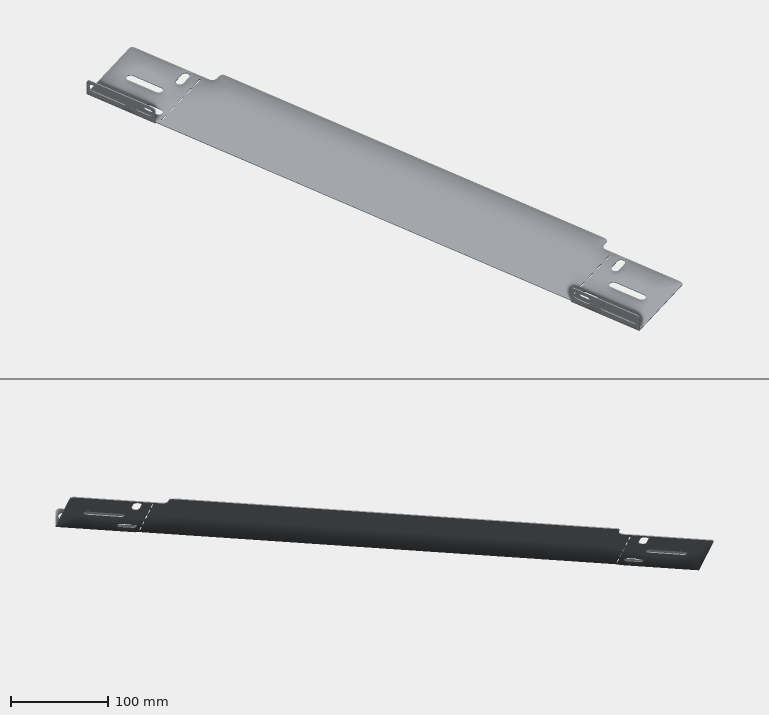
import cadquery as cq

length = 674.0
width = 100.0
height = 20.0
thickness = 1.0

half_length = length / 2
front_y = -width / 2
back_y = width / 2

shoulder_length = 101.0
shoulder_depth = 14.0
corner_radius = 4.0
shoulder_radius = 6.0
flange_length = 83.5
front_set_back = 1.5

slot_width = 9.0
long_slot_length = 43.0
short_slot_length = 21.0
cross_slot_length = 19.5
long_slot_place = (42.5, 44.5)
short_slot_place = (71.5, 16.0)
cross_slot_place = (71.5, 72.0)
flange_slot_z = 11.5
flange_long_slot_length = 45.0
flange_long_slot_end = 25.5
flange_short_slot_end = 70.0

slit_end = 87.0
slit_width = 1.5
slit_length = 9.5
slit_pitch = 16.0
slit_count = 5
first_slit_y = 11.5

pick_margin = 1.0


def mirrored_corners(corner_x, corner_y):
    """Selector for the upright edges at a plan corner and its mirror image in X."""
    return corner_box(-corner_x, corner_y) + corner_box(corner_x, corner_y)


def corner_box(corner_x, corner_y):
    """Selector for the edge centered on one plan corner of the plate."""
    return cq.selectors.BoxSelector(
        (corner_x - pick_margin, corner_y - pick_margin, 0),
        (corner_x + pick_margin, corner_y + pick_margin, thickness),
    )


def base_plate():
    """Flat plate with a wide middle and a set-back shoulder at each end."""
    set_back_y = front_y + front_set_back
    flange_end_x = half_length - flange_length
    shoulder_y = back_y - shoulder_depth
    tab_x = half_length - shoulder_length
    plate = (
        cq.Workplane("XY")
        .polyline([
            (-half_length, front_y),
            (-flange_end_x, front_y),
            (-flange_end_x, set_back_y),
            (flange_end_x, set_back_y),
            (flange_end_x, front_y),
            (half_length, front_y),
            (half_length, shoulder_y),
            (tab_x, shoulder_y),
            (tab_x, back_y),
            (-tab_x, back_y),
            (-tab_x, shoulder_y),
            (-half_length, shoulder_y),
        ])
        .close()
        .extrude(thickness)
    )

    plate = plate.edges(mirrored_corners(tab_x, shoulder_y)).fillet(shoulder_radius)
    plate = plate.edges(mirrored_corners(tab_x, back_y)).fillet(corner_radius)
    return plate.edges(mirrored_corners(half_length, shoulder_y)).fillet(corner_radius)


def flange(side):
    """Upturned front flange at one end (side is -1 or 1)."""
    center_x = side * (half_length - flange_length / 2)
    return (
        cq.Workplane("XY")
        .box(flange_length, thickness, height, centered=(True, False, False))
        .translate((center_x, front_y, 0))
        .edges("|Y and >Z")
        .fillet(corner_radius)
    )


def floor_slot(side, place, slot_length, angle=0):
    """Cutter for a round-ended slot through the plate."""
    from_end, from_front = place
    return (
        cq.Workplane("XY")
        .center(side * (half_length - from_end), front_y + from_front)
        .slot2D(slot_length, slot_width, angle)
        .extrude(thickness)
    )


def flange_slot(side, from_end, slot_length):
    """Cutter for a round-ended slot through the flange."""
    return (
        cq.Workplane("XZ", origin=(0, front_y + thickness, 0))
        .center(side * (half_length - from_end), flange_slot_z)
        .slot2D(slot_length, slot_width)
        .extrude(thickness)
    )


def fold_slits(side):
    """Cutter for the row of narrow slits across one end."""
    places = [(0, index * slit_pitch) for index in range(slit_count)]
    return (
        cq.Workplane("XY")
        .center(side * (half_length - slit_end), front_y + first_slit_y)
        .pushPoints(places)
        .rect(slit_width, slit_length)
        .extrude(thickness)
    )


result = base_plate()
for end in (-1, 1):
    result = (
        result.union(flange(end))
        .cut(floor_slot(end, long_slot_place, long_slot_length))
        .cut(floor_slot(end, short_slot_place, short_slot_length))
        .cut(floor_slot(end, cross_slot_place, cross_slot_length, angle=90))
        .cut(flange_slot(end, flange_long_slot_end, flange_long_slot_length))
        .cut(flange_slot(end, flange_short_slot_end, short_slot_length))
        .cut(fold_slits(end))
    )